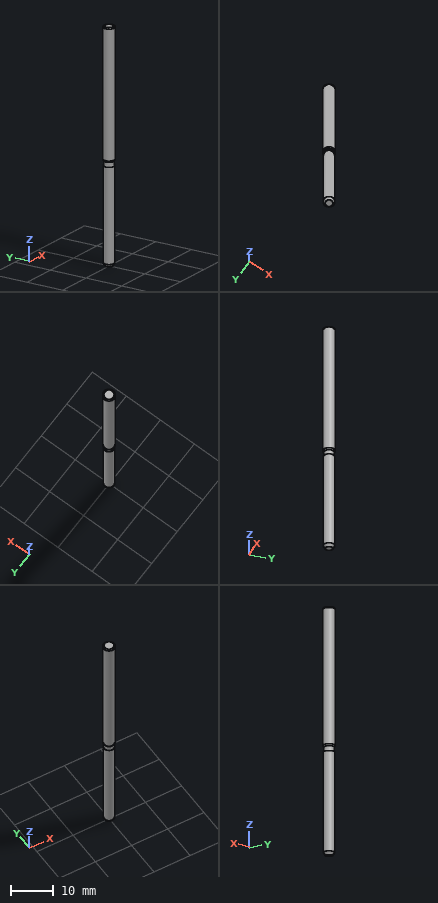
import cadquery as cq

total_length = 60.0

shank_diameter = 3.0
shank_length = 33.7
top_chamfer = 0.3
bottom_taper_height = 0.4

pin_diameter = 2.75
neck_diameter = 2.5
neck_length = 0.85
shoulder_height = 0.35
tip_diameter = 1.8
tip_height = 0.8

joint_z = total_length - shank_length
neck_bottom_z = joint_z - neck_length


def revolve_profile(profile):
    """Turn a closed half profile of (radius, height) points about the Z axis."""
    return cq.Workplane("XZ").polyline(profile).close().revolve(360, (0, 0), (0, 1))


def make_shank():
    """Cylinder chamfered at the top and tapered down to the neck at the bottom."""
    shank_radius = shank_diameter / 2
    profile = [
        (0, joint_z),
        (neck_diameter / 2, joint_z),
        (shank_radius, joint_z + bottom_taper_height),
        (shank_radius, total_length - top_chamfer),
        (shank_radius - top_chamfer, total_length),
        (0, total_length),
    ]
    return revolve_profile(profile)


def make_lower_pin():
    """Turned pin with a conical tip and a reduced neck below the shank."""
    pin_radius = pin_diameter / 2
    neck_radius = neck_diameter / 2
    profile = [
        (0, 0),
        (tip_diameter / 2, 0),
        (pin_radius, tip_height),
        (pin_radius, neck_bottom_z - shoulder_height),
        (neck_radius, neck_bottom_z),
        (neck_radius, joint_z),
        (0, joint_z),
    ]
    return revolve_profile(profile)


shank = make_shank()
lower_pin = make_lower_pin()

result = cq.Compound.makeCompound([shank.val(), lower_pin.val()])